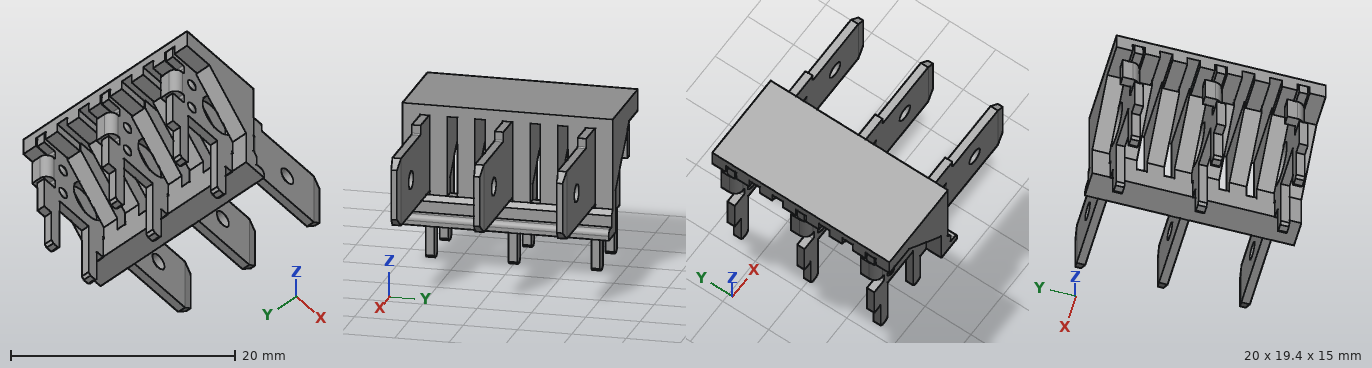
import cadquery as cq
import math

POLES = 3
SLOT_PITCH = 2.55
SLOTS_PER_POLE = 3
POLE_PITCH = SLOTS_PER_POLE * SLOT_PITCH
SLOT_COUNT = (POLES - 1) * SLOTS_PER_POLE + 1
TOP_Z = 15.0

HOUSING_WIDTH = 19.35
HOUSING_BOTTOM_Z = 4.08
WALL_OUTER_X = 9.02
WALL_INNER_X = 8.0
ARM_UNDERSIDE_Z = 13.0
GUSSET_START_X = 3.05
GUSSET_END_Z = ARM_UNDERSIDE_Z - (WALL_INNER_X - GUSSET_START_X)
LEDGE_X = 9.42
LEDGE_SLOPE_TOP_Z = 6.58
LEDGE_SLOPE_BOTTOM_Z = 6.08
LIP_X = 10.45
LIP_TOP_Z = 5.02
LIP_RADIUS = 0.5

SLOT_WIDTH = 0.95
SLOT_TOP_Z = 14.02
SLOT_BOTTOM_Z = 6.55
WIDE_SLOT_WIDTH = 1.15

THICKNESS = 0.8
FRONT_FACE_Y = -THICKNESS / 2
TAIL_SHOULDER_Z = 4.0
BRIDGE_Z = 6.52
LEG_LEFT_X = 0.98
LEG_WIDTH = 1.12
LEG_SPACING = 5.02
LEG_TIP_CHAMFER = 0.25

TAB_CENTRE_Z = 10.0
TAB_HEIGHT = 6.3
TAB_TIP_HEIGHT = 4.65
TAB_TIP_X = 20.0
TAB_TAPER_X = 19.05
TAB_TIP_THICKNESS = 0.55
TAB_TOP_Z = TAB_CENTRE_Z + TAB_HEIGHT / 2
TAB_BOTTOM_Z = TAB_CENTRE_Z - TAB_HEIGHT / 2
TAB_SHOULDER_X = 12.05
TAB_SHOULDER_RADIUS = 0.12
TAB_HOLE_X = 15.48
TAB_HOLE_DIAMETER = 1.65
WINDOW_X = 6.02
WINDOW_DIAMETER = 4.0

NOTCH_X = 1.52
NOTCH_TOP_Z = 12.75
NOTCH_BOTTOM_Z = 7.78
NOTCH_RADIUS = 0.2
FLAP_TOP_Z = 11.75
FLAP_BOTTOM_Z = 8.82
FLAP_BACK_X = 0.4
FLAP_BEND_X = 1.25
FLAP_BEND_RADIUS = FLAP_BEND_X - FLAP_BACK_X
FLAP_INNER_RADIUS = FLAP_BEND_RADIUS - THICKNESS
FLAP_END_Y = 1.38

DIMPLE_X = 2.55
DIMPLE_Z_POSITIONS = (8.05, 11.1)
DIMPLE_DIAMETER = 1.08
DIMPLE_HEIGHT = 0.2

BARB_FREE_X = 9.08
BARB_ROOT_X = 11.08
BARB_FREE_HEIGHT = 2.68
BARB_ROOT_HEIGHT = 3.05
BARB_RISE = 0.3


def box(x_range, y_range, z_range):
    """Rectangular block between the given limits."""
    spans = [high - low for low, high in (x_range, y_range, z_range)]
    return cq.Workplane("XY").box(*spans, centered=False).translate((x_range[0], y_range[0], z_range[0]))


def plate_profile():
    """XZ sketch plane on the front face of a terminal; extruding by a negative length fills the plate."""
    return cq.Workplane("XZ", origin=(0, FRONT_FACE_Y, 0))


def make_housing():
    """Inverted L section with a diagonal gusset, cut by a row of equal slots."""
    arc_offset = LIP_RADIUS * math.sqrt(0.5)
    arc_centre_x = LIP_X - LIP_RADIUS
    arc_centre_z = LIP_TOP_Z - LIP_RADIUS
    body = (
        cq.Workplane("XZ", origin=(0, HOUSING_WIDTH / 2, 0))
        .moveTo(0, TOP_Z)
        .lineTo(0, ARM_UNDERSIDE_Z)
        .lineTo(GUSSET_START_X, ARM_UNDERSIDE_Z)
        .lineTo(WALL_INNER_X, GUSSET_END_Z)
        .lineTo(WALL_INNER_X, HOUSING_BOTTOM_Z)
        .lineTo(LIP_X, HOUSING_BOTTOM_Z)
        .lineTo(LIP_X, arc_centre_z)
        .threePointArc((arc_centre_x + arc_offset, arc_centre_z + arc_offset), (arc_centre_x, LIP_TOP_Z))
        .lineTo(LEDGE_X, LIP_TOP_Z)
        .lineTo(LEDGE_X, LEDGE_SLOPE_BOTTOM_Z)
        .lineTo(WALL_OUTER_X, LEDGE_SLOPE_TOP_Z)
        .lineTo(WALL_OUTER_X, TOP_Z)
        .close()
        .extrude(HOUSING_WIDTH)
    )
    slot_z = (SLOT_BOTTOM_Z, SLOT_TOP_Z)
    for index in range(SLOT_COUNT):
        y = (index - (SLOT_COUNT - 1) / 2) * SLOT_PITCH
        body = body.cut(box((0, WALL_OUTER_X), (y - SLOT_WIDTH / 2, y + SLOT_WIDTH / 2), slot_z))
        wide_y = (y - WIDE_SLOT_WIDTH / 2, y + WIDE_SLOT_WIDTH / 2)
        body = body.cut(box((0, GUSSET_START_X), wide_y, slot_z))
    return body


def make_plate():
    """Flat stamping: slot web, male tab and bridge, without the legs."""
    plate = (
        plate_profile()
        .moveTo(0, SLOT_TOP_Z)
        .lineTo(TAB_SHOULDER_X, SLOT_TOP_Z)
        .lineTo(TAB_SHOULDER_X, TAB_TOP_Z + TAB_SHOULDER_RADIUS)
        .radiusArc((TAB_SHOULDER_X + TAB_SHOULDER_RADIUS, TAB_TOP_Z), -TAB_SHOULDER_RADIUS)
        .lineTo(TAB_TAPER_X, TAB_TOP_Z)
        .lineTo(TAB_TIP_X, TAB_CENTRE_Z + TAB_TIP_HEIGHT / 2)
        .lineTo(TAB_TIP_X, TAB_CENTRE_Z - TAB_TIP_HEIGHT / 2)
        .lineTo(TAB_TAPER_X, TAB_BOTTOM_Z)
        .lineTo(WALL_INNER_X, TAB_BOTTOM_Z)
        .lineTo(WALL_INNER_X, TAIL_SHOULDER_Z)
        .lineTo(0, TAIL_SHOULDER_Z)
        .close()
        .extrude(-THICKNESS)
    )
    return plate.cut(make_tip_taper()).cut(make_plate_holes())


def make_tip_taper():
    """Wedges removed from both faces of the tab tip."""
    wedge = (
        cq.Workplane("XY", origin=(0, 0, TAB_BOTTOM_Z))
        .moveTo(TAB_TAPER_X, THICKNESS / 2)
        .lineTo(TAB_TIP_X, THICKNESS / 2)
        .lineTo(TAB_TIP_X, TAB_TIP_THICKNESS / 2)
        .close()
        .extrude(TAB_HEIGHT)
    )
    return wedge.union(wedge.mirror("XZ"))


def make_plate_holes():
    """Round window behind the gusset and the hole in the tab."""
    window = plate_profile().center(WINDOW_X, TAB_CENTRE_Z).circle(WINDOW_DIAMETER / 2)
    tab_hole = plate_profile().center(TAB_HOLE_X, TAB_CENTRE_Z).circle(TAB_HOLE_DIAMETER / 2)
    return window.extrude(-THICKNESS).union(tab_hole.extrude(-THICKNESS))


def make_bridge_opening():
    """Space between the two legs, below the bridge."""
    legs_inner_x = (LEG_LEFT_X + LEG_WIDTH, LEG_LEFT_X + LEG_SPACING)
    return box(legs_inner_x, (-THICKNESS / 2, THICKNESS / 2), (TAIL_SHOULDER_Z, BRIDGE_Z))


def make_leg(left_x):
    """Solder leg with chamfered tip corners."""
    leg = box((left_x, left_x + LEG_WIDTH), (-THICKNESS / 2, THICKNESS / 2), (0, TAIL_SHOULDER_Z))
    return leg.faces("<Z").edges("|Y").chamfer(LEG_TIP_CHAMFER)


def make_notch(bottom_z, top_z):
    """Cutter for a notch open to the back edge, with rounded inner corners."""
    notch = box((0, NOTCH_X), (-THICKNESS / 2, THICKNESS / 2), (bottom_z, top_z))
    return notch.faces(">X").edges("|Y").fillet(NOTCH_RADIUS)


def make_flap():
    """Strip that leaves the plate towards -X and bends round to +Y."""
    bend_y = FRONT_FACE_Y + FLAP_BEND_RADIUS
    return (
        cq.Workplane("XY", origin=(0, 0, FLAP_BOTTOM_Z))
        .moveTo(NOTCH_X, FRONT_FACE_Y)
        .lineTo(FLAP_BEND_X, FRONT_FACE_Y)
        .radiusArc((FLAP_BACK_X, bend_y), FLAP_BEND_RADIUS)
        .lineTo(FLAP_BACK_X, FLAP_END_Y)
        .lineTo(FLAP_BACK_X + THICKNESS, FLAP_END_Y)
        .lineTo(FLAP_BACK_X + THICKNESS, bend_y)
        .radiusArc((FLAP_BEND_X, bend_y - FLAP_INNER_RADIUS), -FLAP_INNER_RADIUS)
        .lineTo(NOTCH_X, THICKNESS / 2)
        .close()
        .extrude(FLAP_TOP_Z - FLAP_BOTTOM_Z)
    )


def make_dimple(z):
    """Spherical cap standing on the front face."""
    sphere_radius = ((DIMPLE_DIAMETER / 2) ** 2 + DIMPLE_HEIGHT**2) / (2 * DIMPLE_HEIGHT)
    half_angle = math.asin(DIMPLE_DIAMETER / 2 / sphere_radius) / 2
    crown_y = FRONT_FACE_Y - DIMPLE_HEIGHT
    arc_x = sphere_radius * math.sin(half_angle)
    arc_y = crown_y + sphere_radius * (1 - math.cos(half_angle))
    return (
        cq.Workplane("XY")
        .moveTo(0, crown_y)
        .threePointArc((arc_x, arc_y), (DIMPLE_DIAMETER / 2, FRONT_FACE_Y))
        .lineTo(0, FRONT_FACE_Y)
        .close()
        .revolve(360, (0, 0), (0, 1))
        .translate((DIMPLE_X, 0, z))
    )


def make_barb():
    """Ramp on the front face, highest and narrowest beside the housing wall."""
    ramp = (
        cq.Workplane("XY", origin=(0, 0, TAB_BOTTOM_Z))
        .moveTo(BARB_ROOT_X, FRONT_FACE_Y)
        .lineTo(BARB_FREE_X, FRONT_FACE_Y - BARB_RISE)
        .lineTo(BARB_FREE_X, FRONT_FACE_Y)
        .close()
        .extrude(TAB_HEIGHT)
    )
    outline = (
        plate_profile()
        .moveTo(BARB_FREE_X, TAB_CENTRE_Z - BARB_FREE_HEIGHT / 2)
        .lineTo(BARB_ROOT_X, TAB_CENTRE_Z - BARB_ROOT_HEIGHT / 2)
        .lineTo(BARB_ROOT_X, TAB_CENTRE_Z + BARB_ROOT_HEIGHT / 2)
        .lineTo(BARB_FREE_X, TAB_CENTRE_Z + BARB_FREE_HEIGHT / 2)
        .close()
        .extrude(BARB_RISE)
    )
    return ramp.intersect(outline)


def make_terminal():
    """One terminal, centred on Y = 0."""
    terminal = make_plate().cut(make_bridge_opening())
    for left_x in (LEG_LEFT_X, LEG_LEFT_X + LEG_SPACING):
        terminal = terminal.union(make_leg(left_x))
    terminal = terminal.cut(make_notch(FLAP_TOP_Z, NOTCH_TOP_Z))
    terminal = terminal.cut(make_notch(NOTCH_BOTTOM_Z, FLAP_BOTTOM_Z))
    terminal = terminal.cut(box((0, NOTCH_X), (-THICKNESS / 2, THICKNESS / 2), (FLAP_BOTTOM_Z, FLAP_TOP_Z)))
    terminal = terminal.union(make_flap())
    for z in DIMPLE_Z_POSITIONS:
        terminal = terminal.union(make_dimple(z))
    return terminal.union(make_barb())


housing = make_housing()
terminal = make_terminal()
terminals = []
for pole in range(POLES):
    pole_y = (pole - (POLES - 1) / 2) * POLE_PITCH
    terminals.append(terminal.translate((0, pole_y, 0)).val())

result = cq.Compound.makeCompound([housing.val(), *terminals])